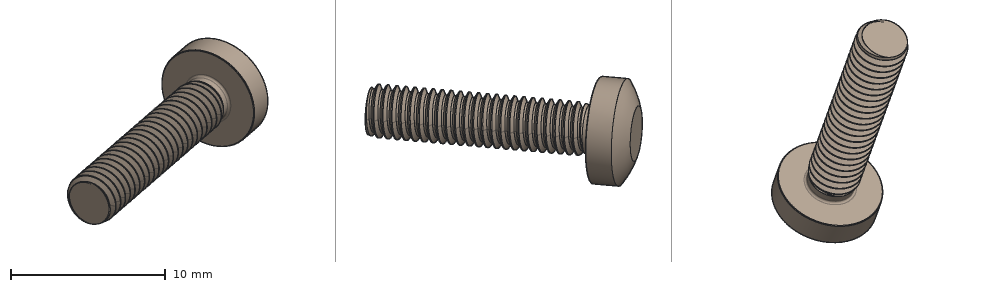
import cadquery as cq
import math


head_radius = 7.0 / 2
head_height = 2.6
rim_height = 1.73
crown_flat_radius = 1.8
head_edge_chamfer = 0.05

shank_length = 15.0
neck_radius = 1.58
neck_length = 0.63
neck_fillet = 0.16
run_in_length = 0.5
tip_taper_length = 0.45
tip_radius = 1.59

major_radius = 3.5 / 2
pitch = 0.6
root_radius = 1.42
crest_width = pitch / 8
flank_angle = math.radians(30)

trim_overrun = 0.1
trim_outer_radius = 2.2


def crown_mid_point():
    """Point halfway along the crown arc, whose sphere is centred on the axis."""
    drop = head_height - rim_height
    rim_to_centre = (head_radius**2 - crown_flat_radius**2 - drop**2) / (2 * drop)
    sphere_centre = rim_height - rim_to_centre
    sphere_radius = math.hypot(head_radius, rim_to_centre)
    mid_radius = (head_radius + crown_flat_radius) / 2
    mid_height = sphere_centre + math.sqrt(sphere_radius**2 - mid_radius**2)
    return mid_radius, -mid_height


def revolve_on_z(profile):
    """Revolve a closed (radius, Z) profile a full turn about Z."""
    return profile.close().revolve(360, (0, 0, 0), (0, 1, 0))


def make_head_and_neck():
    """Head with its filleted neck as one body of revolution."""
    fillet_bend = neck_fillet * (1 - math.sqrt(0.5))
    return revolve_on_z(
        cq.Workplane("XZ")
        .moveTo(0, -head_height)
        .lineTo(crown_flat_radius, -head_height)
        .threePointArc(crown_mid_point(), (head_radius, -rim_height))
        .lineTo(head_radius, -head_edge_chamfer)
        .lineTo(head_radius - head_edge_chamfer, 0)
        .lineTo(neck_radius + neck_fillet, 0)
        .threePointArc((neck_radius + fillet_bend, fillet_bend), (neck_radius, neck_fillet))
        .lineTo(neck_radius, neck_length)
        .lineTo(0, neck_length)
    )


def make_helix(radius, start):
    """One right-handed turn of a helix that begins at angle zero and Z = start."""
    return cq.Wire.makeHelix(pitch, pitch, radius).Edges()[0].translate(cq.Vector(0, 0, start))


def make_thread_blank(start, turns):
    """Solid thread over whole turns, its first crest centred on +X at Z = start.

    Each turn is four helical strips: rising flank, crest, falling flank and root.
    A spiral ramp and a step along the axis close each end of the thread.
    """
    crest_half = crest_width / 2
    base_half = crest_half + (major_radius - root_radius) * math.tan(flank_angle)
    strip_borders = [
        (root_radius, -base_half),
        (major_radius, -crest_half),
        (major_radius, crest_half),
        (root_radius, base_half),
        (root_radius, pitch - base_half),
    ]
    faces = []
    for turn in range(turns):
        helices = [make_helix(radius, start + turn * pitch + z) for radius, z in strip_borders]
        faces += [cq.Face.makeRuledSurface(a, b) for a, b in zip(helices, helices[1:])]

    for end in (start, start + turns * pitch):
        ramp_start = end - base_half
        ramp_end = ramp_start + pitch
        axis = cq.Edge.makeLine(cq.Vector(0, 0, ramp_start), cq.Vector(0, 0, ramp_end))
        faces.append(cq.Face.makeRuledSurface(make_helix(root_radius, ramp_start), axis))
        step_corners = [(0, ramp_start)]
        step_corners += [(radius, end + z) for radius, z in strip_borders]
        step_corners += [(0, ramp_end)]
        step = cq.Wire.makePolygon([cq.Vector(r, 0, z) for r, z in step_corners], close=True)
        faces.append(cq.Face.makeFromWires(step))
    return cq.Workplane(obj=cq.Solid.makeSolid(cq.Shell.makeShell(faces)))


def make_trim_ring(start_radius, end_radius, start, end):
    """Ring with a conical bore that trims the thread crests between two Z levels."""
    overrun_radius = (end_radius - start_radius) / (end - start) * trim_overrun
    return revolve_on_z(
        cq.Workplane("XZ")
        .moveTo(start_radius - overrun_radius, start - trim_overrun)
        .lineTo(end_radius + overrun_radius, end + trim_overrun)
        .lineTo(trim_outer_radius, end + trim_overrun)
        .lineTo(trim_outer_radius, start - trim_overrun)
    )


def make_threaded_rod():
    """Thread cut square at the neck and at the tip, with its ends tapered."""
    spare_turns = 1
    blank = make_thread_blank(0, round(shank_length / pitch) + spare_turns)
    rod_length = shank_length - neck_length
    rod_space = (
        cq.Workplane("XY")
        .workplane(offset=neck_length)
        .rect(2 * trim_outer_radius, 2 * trim_outer_radius)
        .extrude(rod_length)
    )
    run_in_ring = make_trim_ring(neck_radius, major_radius, neck_length, neck_length + run_in_length)
    tip_ring = make_trim_ring(major_radius, tip_radius, shank_length - tip_taper_length, shank_length)
    return blank.intersect(rod_space).cut(run_in_ring).cut(tip_ring)


screw = make_head_and_neck().union(make_threaded_rod())
result = screw.rotate((0, 0, 0), (1, 0, 0), 90)